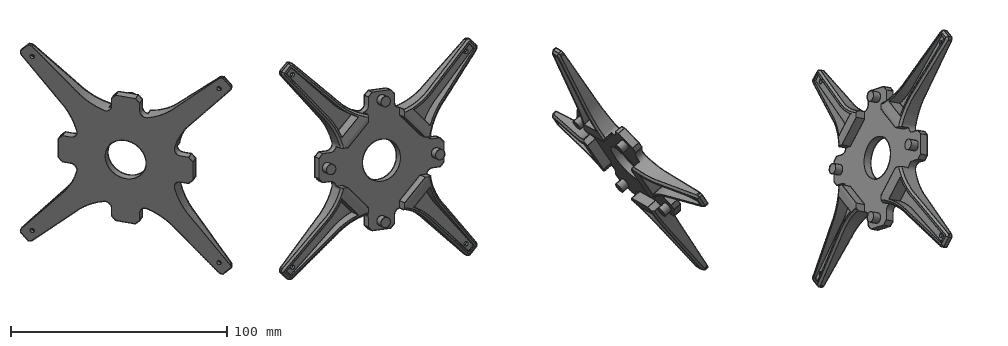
import cadquery as cq
import math

HALF_SPAN = 51.6
PLATE_THICKNESS = 4.0
RIB_HEIGHT = 9.0
BORE_RADIUS = 10.0

TAB_HALF_WIDTH = 6.9
TAB_REACH = 33.0
TAB_CHAMFER = 2.1
TAB_SHOULDER = TAB_REACH - TAB_CHAMFER
TAB_TIP_HALF_WIDTH = TAB_HALF_WIDTH - TAB_CHAMFER

NOTCH_CORNER = (TAB_HALF_WIDTH, 23.2)
NOTCH_RADIUS = 3.0

FLARE_END = (25.0, 32.4)
FLARE_RADIUS = 32.0
TIP_BEVEL_START = (45.9, 51.2)
TIP_BEVEL_END = (46.6, HALF_SPAN)
TIP_CORNER = (47.7, HALF_SPAN)
TIP_HOLE_RADIUS = 1.0
TIP_HOLE_OFFSET = 45.8

RIB_INNER_OFFSET = 9.5
RIB_INNER_DISTANCE = 21.1
RIB_CHAMFER = 1.0
SLOPE_START = 22.7
TIP_DISTANCE = sum(TIP_CORNER) / math.sqrt(2)
TIP_HEIGHT = 2.8

POCKET_START = 26.8
POCKET_WALL = 2.0
POCKET_FLOOR = 2.0

PEG_RADIUS = 2.5
PEG_HEIGHT = 8.0
PEG_OFFSET = 28.8

QUARTERS = 4
QUARTER_TURN = 360 / QUARTERS
CUT_MARGIN = 5.2
PICK_SIZE = 0.5
PICK_GAP = 0.01


def mirrored(point):
    """Reflect an (x, z) point across the diagonal of the quadrant."""
    return (point[1], point[0])


def rise(sketch, height):
    """Extrude an XZ sketch from the flat face toward +Y."""
    return sketch.extrude(-height)


def turned(solid, quarter):
    return solid.rotate((0, 0, 0), (0, 1, 0), quarter * QUARTER_TURN)


def round_notch(prism, corner):
    """Fillet the upright edge at an (x, z) corner."""
    x, z = corner
    around_corner = cq.selectors.BoxSelector(
        (x - PICK_SIZE, 0, z - PICK_SIZE),
        (x + PICK_SIZE, RIB_HEIGHT, z + PICK_SIZE),
    )
    return prism.edges("|Y").edges(around_corner).fillet(NOTCH_RADIUS)


def quarter_prism(height):
    """One quarter of the outline: two half tabs with an arm between them."""
    outline = (
        cq.Workplane("XZ")
        .lineTo(0, TAB_REACH)
        .lineTo(TAB_TIP_HALF_WIDTH, TAB_REACH)
        .lineTo(TAB_HALF_WIDTH, TAB_SHOULDER)
        .lineTo(*NOTCH_CORNER)
        .radiusArc(FLARE_END, -FLARE_RADIUS)
        .lineTo(*TIP_BEVEL_START)
        .lineTo(*TIP_BEVEL_END)
        .lineTo(*TIP_CORNER)
        .lineTo(*mirrored(TIP_CORNER))
        .lineTo(*mirrored(TIP_BEVEL_END))
        .lineTo(*mirrored(TIP_BEVEL_START))
        .lineTo(*mirrored(FLARE_END))
        .radiusArc(mirrored(NOTCH_CORNER), -FLARE_RADIUS)
        .lineTo(TAB_SHOULDER, TAB_HALF_WIDTH)
        .lineTo(TAB_REACH, TAB_TIP_HALF_WIDTH)
        .lineTo(TAB_REACH, 0)
        .close()
    )
    prism = rise(outline, height)
    prism = round_notch(prism, NOTCH_CORNER)
    return round_notch(prism, mirrored(NOTCH_CORNER))


def space_above_slope():
    """Space above the rib's top, which falls in a straight line to the arm tip."""
    diagonal_plane = cq.Plane((0, 0, 0), xDir=(1, 0, 1), normal=(-1, 0, 1))
    outer = TIP_DISTANCE + CUT_MARGIN
    top = RIB_HEIGHT + CUT_MARGIN
    return (
        cq.Workplane(diagonal_plane)
        .moveTo(SLOPE_START, RIB_HEIGHT)
        .lineTo(TIP_DISTANCE, TIP_HEIGHT)
        .lineTo(outer, TIP_HEIGHT)
        .lineTo(outer, top)
        .lineTo(SLOPE_START, top)
        .close()
        .extrude(HALF_SPAN, both=True)
    )


def beyond(distance):
    """Quadrant region past a line square to the diagonal at a distance from the centre."""
    leg = math.sqrt(2) * distance
    far = 2 * HALF_SPAN
    region = (
        cq.Workplane("XZ")
        .moveTo(leg, 0)
        .lineTo(far, 0)
        .lineTo(far, far)
        .lineTo(0, far)
        .lineTo(0, leg)
        .close()
    )
    return rise(region, RIB_HEIGHT)


def arm_zone():
    """Region an arm rises into: clear of the tab lanes and of the centre."""
    side = HALF_SPAN - RIB_INNER_OFFSET
    middle = RIB_INNER_OFFSET + side / 2
    square = rise(cq.Workplane("XZ").center(middle, middle).rect(side, side), RIB_HEIGHT)
    return square.intersect(beyond(RIB_INNER_DISTANCE))


def pocket():
    """Hollow in the arm's top, leaving an even wall along its sides and tip."""
    outline = quarter_prism(RIB_HEIGHT).faces("<Y").wires().val()
    inset = outline.offset2D(-POCKET_WALL)[0]
    hollow = rise(cq.Workplane("XZ").add(inset).toPending(), RIB_HEIGHT)
    hollow = hollow.intersect(arm_zone()).intersect(beyond(POCKET_START))
    return hollow.translate((0, POCKET_FLOOR, 0))


def arm():
    """Hollowed arm, chamfered along the outer edges of its sloping top."""
    sloped = quarter_prism(RIB_HEIGHT).intersect(arm_zone()).cut(space_above_slope())
    run = TIP_DISTANCE - SLOPE_START
    drop = RIB_HEIGHT - TIP_HEIGHT
    slope_normal = cq.Vector(drop, math.sqrt(2) * run, drop)
    slope_face = sloped.faces(cq.selectors.ParallelDirSelector(slope_normal))
    past_lanes = RIB_INNER_OFFSET + PICK_SIZE / 2
    past_tip = HALF_SPAN + PICK_SIZE
    outer_edges = slope_face.edges(
        cq.selectors.BoxSelector(
            (past_lanes, 0, past_lanes),
            (past_tip, RIB_HEIGHT - PICK_GAP, past_tip),
        )
    )
    return outer_edges.chamfer(RIB_CHAMFER).cut(pocket())


def plate_quarter():
    return quarter_prism(PLATE_THICKNESS).cut(arm_zone())


def pegs():
    spots = cq.Workplane("XZ").polarArray(PEG_OFFSET, 0, 360, QUARTERS)
    return rise(spots.circle(PEG_RADIUS), PEG_HEIGHT)


def bore():
    return rise(cq.Workplane("XZ").circle(BORE_RADIUS), RIB_HEIGHT)


def tip_holes():
    pitch = 2 * TIP_HOLE_OFFSET
    spots = cq.Workplane("XZ").rect(pitch, pitch, forConstruction=True).vertices()
    return rise(spots.circle(TIP_HOLE_RADIUS), RIB_HEIGHT)


quarter_body = plate_quarter().union(arm())
body = quarter_body
for quarter in range(1, QUARTERS):
    body = body.union(turned(quarter_body, quarter))

result = body.union(pegs()).cut(bore()).cut(tip_holes()).clean()